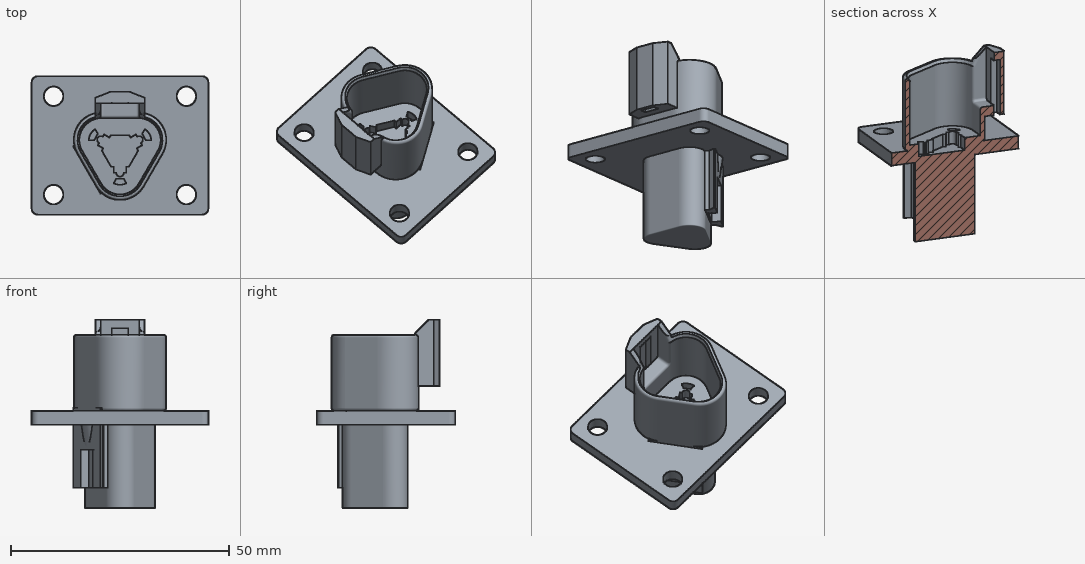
import cadquery as cq
import math


PLATE_X = 40.51
PLATE_Y = 31.75
PLATE_T = 3.18
PLATE_CORNER_R = 1.5
HOLE_D = 4.4
HOLE_SPACING_X = 30.4
HOLE_SPACING_Y = 22.5

CORNER_SPACING = 8.6
AXIS_Y = -1.24
INRADIUS = CORNER_SPACING / (2 * math.sqrt(3))
SHELL_R = 6.28
CAVITY_R = 5.0
BODY_R = 3.76

RIM_Z = 20.6
LATCH_TOP_Z = 24.05
TOTAL_HEIGHT = 43.13
BODY_BOTTOM_Z = LATCH_TOP_Z - TOTAL_HEIGHT
CAVITY_FLOOR_Z = 4.5

SHELL_EDGE_R = 0.65
SHELL_BASE_R = 0.7
RIM_CHAMFER_WIDTH = 0.43
RIM_CHAMFER_DEPTH = 0.8
BODY_EDGE_R = 0.2

LATCH_HALF_X = 5.65
LATCH_FLAT_HALF_X = 2.3
LATCH_OUTER_Y = 12.25
LATCH_SHOULDER_Y = 10.9
LATCH_BOTTOM_Z = 8.86
POCKET_HALF_X = 4.37
POCKET_OUTER_Y = 9.7
POCKET_FLOOR_Z = 11.3
POCKET_EDGE_R = 0.65
WINDOW_HALF_X = 1.9
WINDOW_TOP_Z = 22.05
WINDOW_DEPTH = 1.5

RAIL_ANGLE = 210
RAIL_FACE_N = INRADIUS + SHELL_R
RAIL_HALF_T = 6.25
RAIL_HEAD_DEPTH = 0.4
RAIL_NECK_HALF_T = 5.1
RAIL_TOP_Z = PLATE_T + SHELL_BASE_R
RAIL_BOTTOM_Z = -14.45
RAIL_SLOT_HALF_T = 2.8
RAIL_SLOT_DEPTH = 2.1
RAIL_SLOT_TOP_Z = -5.7
BUMP_R = 4.5
BUMP_HALF_T = 2.5
BUMP_LENGTH = 5.0

RECESS_DEPTH = 3.0
SEAT_INRADIUS = 3.58
SEAT_CORNER_CUT = 3.62
SEAT_ARM_HALF_W = 1.43
SEAT_TIP_HALF_W = 0.87
SEAT_TIP_END = 5.9
FINGER_INNER = 6.34
FINGER_INNER_HALF_W = 0.85
FINGER_CORNER = 7.43
FINGER_OUTER_HALF_W = 1.43
FINGER_OUTER = 7.77

ARM_ANGLES = (0, 120, 240)

SELECT_MARGIN = 0.1


def rounded_triangle(radius, z_bottom, z_top):
    """Prism around three corner circles, one corner pointing to -Y."""
    circumradius = CORNER_SPACING / math.sqrt(3)
    corners = []
    for angle in (-90, 30, 150):
        a = math.radians(angle)
        corners.append((circumradius * math.cos(a), circumradius * math.sin(a)))
    prism = (
        cq.Workplane("XY")
        .polyline(corners)
        .close()
        .offset2D(radius)
        .extrude(z_top - z_bottom)
    )
    return prism.translate((0, AXIS_Y, z_bottom))


def box(x_min, x_max, y_min, y_max, z_min, z_max):
    size = (x_max - x_min, y_max - y_min, z_max - z_min)
    return cq.Workplane("XY").box(*size, centered=False).translate((x_min, y_min, z_min))


def make_plate():
    plate = (
        cq.Workplane("XY")
        .rect(PLATE_X, PLATE_Y)
        .extrude(PLATE_T)
        .edges("|Z")
        .fillet(PLATE_CORNER_R)
    )
    holes = (
        cq.Workplane("XY")
        .rect(HOLE_SPACING_X, HOLE_SPACING_Y, forConstruction=True)
        .vertices()
        .circle(HOLE_D / 2)
        .extrude(PLATE_T)
    )
    return plate.cut(holes)


def make_shell():
    """Solid shell with its top and bottom outer edges rounded."""
    shell = rounded_triangle(SHELL_R, PLATE_T, RIM_Z)
    shell = shell.faces(">Z").edges().fillet(SHELL_EDGE_R)
    return shell.faces("<Z").edges().fillet(SHELL_BASE_R)


def make_latch():
    """Solid latch housing, sloped at 45 degrees from the shell rim up to its outer wall."""
    inner_y = AXIS_Y + INRADIUS
    latch = (
        cq.Workplane("XY")
        .moveTo(-LATCH_HALF_X, inner_y)
        .lineTo(-LATCH_HALF_X, LATCH_SHOULDER_Y)
        .lineTo(-LATCH_FLAT_HALF_X, LATCH_OUTER_Y)
        .lineTo(LATCH_FLAT_HALF_X, LATCH_OUTER_Y)
        .lineTo(LATCH_HALF_X, LATCH_SHOULDER_Y)
        .lineTo(LATCH_HALF_X, inner_y)
        .close()
        .extrude(LATCH_TOP_Z - LATCH_BOTTOM_Z)
        .translate((0, 0, LATCH_BOTTOM_Z))
    )
    slope_foot_y = POCKET_OUTER_Y - (LATCH_TOP_Z - RIM_Z)
    above_slope = (
        cq.Workplane("YZ")
        .moveTo(POCKET_OUTER_Y, LATCH_TOP_Z)
        .lineTo(slope_foot_y, RIM_Z)
        .lineTo(inner_y, RIM_Z)
        .lineTo(inner_y, LATCH_TOP_Z)
        .close()
        .extrude(LATCH_HALF_X, both=True)
    )
    return latch.cut(above_slope)


def make_cavity():
    """Shell cavity that widens at the rim, up to the top of the latch."""
    flare_start_z = RIM_Z - RIM_CHAMFER_DEPTH
    flare_height = LATCH_TOP_Z - flare_start_z
    flare_angle = math.degrees(math.atan2(RIM_CHAMFER_WIDTH, RIM_CHAMFER_DEPTH))
    straight = rounded_triangle(CAVITY_R, CAVITY_FLOOR_Z, flare_start_z)
    return straight.faces(">Z").wires().toPending().extrude(flare_height, taper=-flare_angle)


def make_pocket():
    """Latch pocket joined to the shell cavity, with its floor and mouth edges rounded."""
    mouth_y = AXIS_Y + INRADIUS + CAVITY_R
    pocket = box(
        -POCKET_HALF_X, POCKET_HALF_X, 0, POCKET_OUTER_Y, POCKET_FLOOR_Z, LATCH_TOP_Z
    )
    pocket = pocket.faces("<Z").edges("|Y").fillet(POCKET_EDGE_R)
    pocket = pocket.union(make_cavity())
    mouth_edges = cq.selectors.BoxSelector(
        (-POCKET_HALF_X - SELECT_MARGIN, mouth_y - SELECT_MARGIN, POCKET_FLOOR_Z - SELECT_MARGIN),
        (POCKET_HALF_X + SELECT_MARGIN, POCKET_OUTER_Y - 0.5, LATCH_TOP_Z - SELECT_MARGIN),
    )
    return pocket.edges(mouth_edges).fillet(POCKET_EDGE_R)


def make_window():
    """Groove in the inner face of the latch's outer wall, open at the latch bottom."""
    return box(
        -WINDOW_HALF_X,
        WINDOW_HALF_X,
        POCKET_OUTER_Y,
        POCKET_OUTER_Y + WINDOW_DEPTH,
        LATCH_BOTTOM_Z,
        WINDOW_TOP_Z,
    )


def make_body():
    """Lower body, reaching up through the plate to the underside of the shell."""
    body = rounded_triangle(BODY_R, BODY_BOTTOM_Z, PLATE_T)
    return body.faces("<Z").edges().fillet(BODY_EDGE_R)


def make_rail():
    """Rail with a 45-degree undercut head, drawn with n along +X and t along +Y, then turned onto its flat."""
    head_n = RAIL_FACE_N - RAIL_HEAD_DEPTH
    neck_n = head_n - (RAIL_HALF_T - RAIL_NECK_HALF_T)
    rail = (
        cq.Workplane("XY")
        .lineTo(0, RAIL_NECK_HALF_T)
        .lineTo(neck_n, RAIL_NECK_HALF_T)
        .lineTo(head_n, RAIL_HALF_T)
        .lineTo(RAIL_FACE_N, RAIL_HALF_T)
        .lineTo(RAIL_FACE_N, 0)
        .mirrorX()
        .extrude(RAIL_TOP_Z - RAIL_BOTTOM_Z)
        .translate((0, 0, RAIL_BOTTOM_Z))
    )
    slot = box(
        RAIL_FACE_N - RAIL_SLOT_DEPTH,
        RAIL_FACE_N,
        -RAIL_SLOT_HALF_T,
        RAIL_SLOT_HALF_T,
        RAIL_BOTTOM_Z,
        RAIL_SLOT_TOP_Z,
    )
    rail = rail.cut(slot).union(make_bump())
    return rail.rotate((0, 0, 0), (0, 0, 1), RAIL_ANGLE).translate((0, AXIS_Y, 0))


def make_bump():
    """Tapered swelling on the rail face: a tilted cylinder that runs out below the plate."""
    height = BUMP_R - math.sqrt(BUMP_R**2 - BUMP_HALF_T**2)
    tilt = math.degrees(math.atan2(height, BUMP_LENGTH))
    cylinder = (
        cq.Workplane("XY")
        .center(RAIL_FACE_N - BUMP_R, 0)
        .circle(BUMP_R)
        .extrude(2 * BUMP_LENGTH)
        .rotate((RAIL_FACE_N, 0, 0), (RAIL_FACE_N, 1, 0), tilt)
        .translate((0, 0, -BUMP_LENGTH))
    )
    keep = box(
        RAIL_FACE_N - RAIL_HEAD_DEPTH,
        RAIL_FACE_N + 2 * height,
        -RAIL_HALF_T,
        RAIL_HALF_T,
        -BUMP_LENGTH,
        0,
    )
    return cylinder.intersect(keep)


def seat_arm():
    """One arm of the wedge seat, pointing to -Y, with a round tip."""
    tip_centre = SEAT_TIP_END - SEAT_TIP_HALF_W
    return (
        cq.Workplane("XY")
        .moveTo(-SEAT_ARM_HALF_W, 0)
        .lineTo(-SEAT_ARM_HALF_W, -tip_centre)
        .lineTo(-SEAT_TIP_HALF_W, -tip_centre)
        .threePointArc((0, -SEAT_TIP_END), (SEAT_TIP_HALF_W, -tip_centre))
        .lineTo(SEAT_ARM_HALF_W, -tip_centre)
        .lineTo(SEAT_ARM_HALF_W, 0)
        .close()
        .extrude(RECESS_DEPTH)
    )


def finger_recess():
    """Recess for one lock finger, beyond the tip of a seat arm."""
    return (
        cq.Workplane("XY")
        .moveTo(-FINGER_INNER_HALF_W, -FINGER_INNER)
        .lineTo(-FINGER_OUTER_HALF_W, -FINGER_CORNER)
        .threePointArc((0, -FINGER_OUTER), (FINGER_OUTER_HALF_W, -FINGER_CORNER))
        .lineTo(FINGER_INNER_HALF_W, -FINGER_INNER)
        .close()
        .extrude(RECESS_DEPTH)
    )


def make_floor_recesses():
    """Three-armed wedge seat and three lock-finger recesses in the cavity floor."""
    half_corner = (2 * SEAT_INRADIUS - SEAT_CORNER_CUT) * math.tan(math.radians(30))
    outline = []
    for angle in ARM_ANGLES:
        a = math.radians(angle)
        for u in (-half_corner, half_corner):
            v = -SEAT_CORNER_CUT
            outline.append((u * math.cos(a) - v * math.sin(a), u * math.sin(a) + v * math.cos(a)))
    recesses = cq.Workplane("XY").polyline(outline).close().extrude(RECESS_DEPTH)
    for angle in ARM_ANGLES:
        for shape in (seat_arm(), finger_recess()):
            recesses = recesses.union(shape.rotate((0, 0, 0), (0, 0, 1), angle))
    return recesses.translate((0, AXIS_Y, CAVITY_FLOOR_Z - RECESS_DEPTH))


result = (
    make_plate()
    .union(make_body())
    .union(make_rail())
    .union(make_shell())
    .union(make_latch())
    .cut(make_pocket())
    .cut(make_window())
    .cut(make_floor_recesses())
)